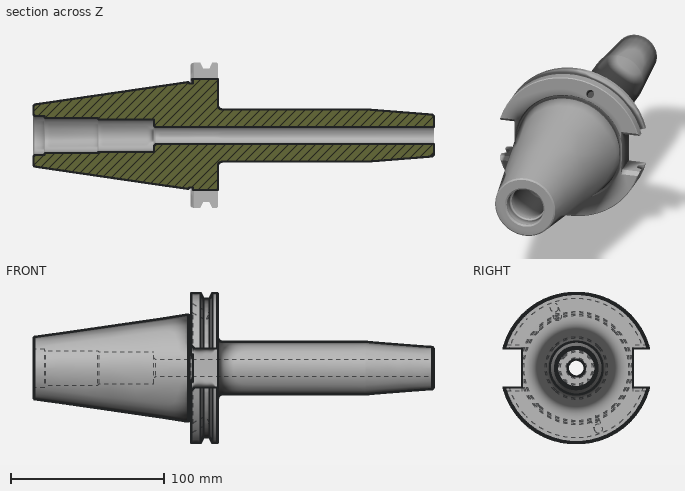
import cadquery as cq
import math

total_length = 261.5
taper_end_x = 101.0
flange_front_x = 102.8
flange_back_x = 120.5
nose_start_x = 217.0

taper_large_radius = 35.0
taper_slope = 7 / 48
taper_small_radius = taper_large_radius - taper_end_x * taper_slope
taper_edge_chamfer = 0.8

flange_radius = 49.2
flange_front_chamfer = 0.5
flange_back_chamfer = 0.8
relief_mouth_radius = 37.0
relief_floor_radius = 36.0
relief_neck_radius = 34.3
relief_neck_start_x = 101.8
relief_floor_x = 104.0

groove_center_x = 113.0
groove_floor_width = 4.2
groove_depth = 3.7
groove_wall_run = 1.8

shank_radius = 17.3
shank_fillet = 2.5
nose_end_radius = 13.9
nose_chamfer = 1.3

slot_width = 25.5
slot_chamfer = 2.4
slot_floor_back = 37.1
slot_floor_front = 35.5

socket_mouth_radius = 13.5
socket_mouth_chamfer = 0.8
pilot_radius = 12.5
pilot_depth = 7.0
thread_radius = 11.2
thread_entry_chamfer = 0.8
thread_depth = 41.9
socket_end_radius = 10.5
socket_depth = 78.5
coolant_radius = 5.5
coolant_countersink = 1.3

port_circle_radius = 42.0
port_clock_angle = 20.0
port_lean_angle = 30.0
port_radius = 2.5
port_depth = 13.0


def revolve_about_x(profile):
    """Solid of revolution of an XY profile around the X axis."""
    return profile.close().revolve(360, (0, 0, 0), (1, 0, 0))


def make_body():
    groove_floor_radius = flange_radius - groove_depth
    floor_half = groove_floor_width / 2
    mouth_half = floor_half + groove_wall_run
    taper_and_flange = [
        (0, 0),
        (0, taper_small_radius - taper_edge_chamfer),
        (taper_edge_chamfer, taper_small_radius + taper_edge_chamfer * taper_slope),
        (taper_end_x, taper_large_radius),
        (relief_neck_start_x, relief_neck_radius),
        (relief_floor_x, relief_neck_radius),
        (relief_floor_x, relief_floor_radius),
        (flange_front_x, relief_mouth_radius),
        (flange_front_x, flange_radius - flange_front_chamfer),
        (flange_front_x + flange_front_chamfer, flange_radius),
        (groove_center_x - mouth_half, flange_radius),
        (groove_center_x - floor_half, groove_floor_radius),
        (groove_center_x + floor_half, groove_floor_radius),
        (groove_center_x + mouth_half, flange_radius),
        (flange_back_x - flange_back_chamfer, flange_radius),
        (flange_back_x, flange_radius - flange_back_chamfer),
        (flange_back_x, shank_radius + shank_fillet),
    ]
    fillet_offset = shank_fillet * (1 - math.sqrt(0.5))
    fillet_middle = (flange_back_x + fillet_offset, shank_radius + fillet_offset)
    fillet_end = (flange_back_x + shank_fillet, shank_radius)
    shank_and_nose = [
        (nose_start_x, shank_radius),
        (total_length - nose_chamfer, nose_end_radius),
        (total_length, nose_end_radius - nose_chamfer),
        (total_length, 0),
    ]
    profile = (
        cq.Workplane("XY")
        .polyline(taper_and_flange)
        .threePointArc(fillet_middle, fillet_end)
        .polyline(shank_and_nose, includeCurrent=True)
    )
    return revolve_about_x(profile)


def make_bore():
    return revolve_about_x(cq.Workplane("XY").polyline([
        (0, 0),
        (0, socket_mouth_radius),
        (socket_mouth_chamfer, pilot_radius),
        (pilot_depth, pilot_radius),
        (pilot_depth, thread_radius + thread_entry_chamfer),
        (pilot_depth + thread_entry_chamfer, thread_radius),
        (thread_depth, thread_radius),
        (thread_depth + thread_radius - socket_end_radius, socket_end_radius),
        (socket_depth, socket_end_radius),
        (socket_depth, coolant_radius + coolant_countersink),
        (socket_depth + coolant_countersink, coolant_radius),
        (total_length, coolant_radius),
        (total_length, 0),
    ]))


def make_drive_slot(side, floor):
    """Slot cutter on the side given by the sign of Y, chamfered at the front face."""
    half = slot_width / 2
    wide_half = half + slot_chamfer
    outline = cq.Workplane("XZ", origin=(0, side * floor, 0)).polyline([
        (flange_front_x, -wide_half),
        (flange_front_x + slot_chamfer, -half),
        (flange_back_x, -half),
        (flange_back_x, half),
        (flange_front_x + slot_chamfer, half),
        (flange_front_x, wide_half),
    ]).close()
    return outline.extrude(-side * flange_radius)


def make_coolant_port():
    """Leaning blind port cutter in the +Z half of the flange, before clocking."""
    lean = math.radians(port_lean_angle)
    direction = cq.Vector(math.cos(lean), 0, -math.sin(lean))
    mouth = cq.Vector(flange_front_x, 0, port_circle_radius)
    lead_in = 2 * port_radius * math.tan(lean)
    start = mouth - direction * lead_in
    return cq.Workplane(cq.Solid.makeCylinder(port_radius, port_depth + lead_in, start, direction))


result = make_body().cut(make_bore())

for side, floor in ((1, slot_floor_back), (-1, slot_floor_front)):
    result = result.cut(make_drive_slot(side, floor))

for angle in (port_clock_angle, port_clock_angle + 180):
    result = result.cut(make_coolant_port().rotate((0, 0, 0), (1, 0, 0), angle))